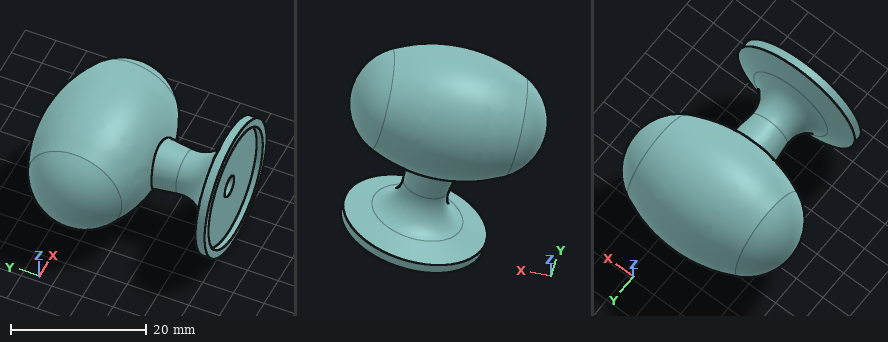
import cadquery as cq
import math

total_height = 31.5
body_length = 29.8
body_radius = 10.0
body_center_y = total_height - body_radius

seam_x = 10.15
seam_radius = 7.65
cap_depth = body_length / 2 - seam_x
cap_sphere_radius = (seam_radius**2 + cap_depth**2) / (2 * cap_depth)
cap_center_x = body_length / 2 - cap_sphere_radius
cap_mid_angle = math.atan2(seam_radius, seam_x - cap_center_x) / 2
cap_mid_x = cap_center_x + cap_sphere_radius * math.cos(cap_mid_angle)
cap_mid_radius = cap_sphere_radius * math.sin(cap_mid_angle)

foot_radius = 11.0
rim_height = 1.5
flare_radius = 6.93
flare_top_y = 2.85
neck_radius = 3.53
neck_y = 8.13
neck_top_radius = 4.03
neck_top_y = 12.45
neck_end_y = body_center_y - body_radius / 2

recess_radius = 9.6
recess_depth = 1.0
hole_radius = 1.67
hole_depth = 8.0
drill_tip_half_angle = math.radians(59)
drill_tip_height = hole_radius / math.tan(drill_tip_half_angle)


def make_body():
    """Egg revolved about its long axis, parallel to X."""
    half_length = body_length / 2
    profile = (
        cq.Workplane("XY")
        .moveTo(-half_length, 0)
        .threePointArc((-cap_mid_x, cap_mid_radius), (-seam_x, seam_radius))
        .threePointArc((0, body_radius), (seam_x, seam_radius))
        .threePointArc((cap_mid_x, cap_mid_radius), (half_length, 0))
        .close()
    )
    return profile.revolve(360, (0, 0), (1, 0)).translate((0, body_center_y, 0))


def make_stem():
    """Foot, concave flare and slightly widening neck revolved about Y."""
    profile = (
        cq.Workplane("XY")
        .lineTo(foot_radius, 0)
        .lineTo(foot_radius, rim_height)
        .lineTo(flare_radius, flare_top_y)
        .tangentArcPoint((neck_radius, neck_y), relative=False)
        .tangentArcPoint((neck_top_radius, neck_top_y), relative=False)
        .lineTo(neck_top_radius, neck_end_y)
        .lineTo(0, neck_end_y)
        .close()
    )
    return profile.revolve(360, (0, 0), (0, 1))


def make_underside_cut():
    """Shallow round recess with a blind, drill-pointed screw hole."""
    profile = (
        cq.Workplane("XY")
        .lineTo(recess_radius, 0)
        .lineTo(recess_radius, recess_depth)
        .lineTo(hole_radius, recess_depth)
        .lineTo(hole_radius, hole_depth)
        .lineTo(0, hole_depth + drill_tip_height)
        .close()
    )
    return profile.revolve(360, (0, 0), (0, 1))


result = make_body().union(make_stem()).cut(make_underside_cut())